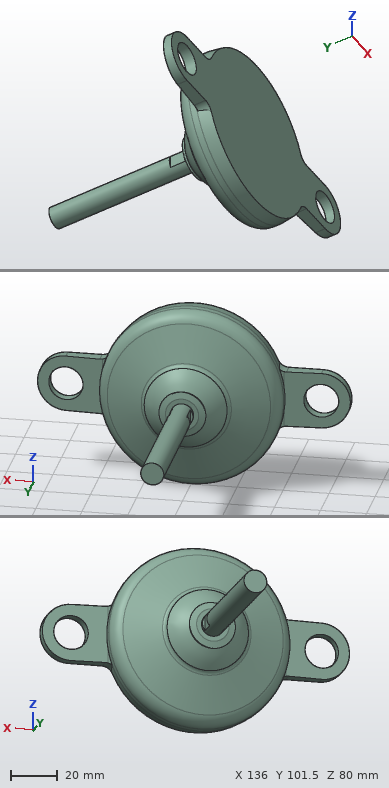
import cadquery as cq
import math

overall_length = 136.0
overall_depth = 101.5

pad_radius = 40.0
base_radius = 39.2
draft_height = 6.1
rim_height = 9.1
cone_start_radius = 35.5
cone_start_height = 15.6
cone_end_radius = 19.6
cone_end_height = 21.8
dome_radius = 23.0
dome_centre_height = rim_height
dome_start_height = 23.4
dome_top_height = 30.0

lug_radius = 12.5
lug_hole_radius = 7.5
lug_tip_thickness = 4.1
lug_root_thickness = 5.8
lug_root_x = 39.5
lug_blend_radius = 5.0
lug_centre_x = overall_length / 2 - lug_radius

stem_radius = 5.0
collar_base_radius = 9.7
collar_edge_radius = 10.2
collar_edge_height = 30.9
collar_top_radius = 7.2
collar_top_height = 31.7
flats_start = 33.3
flats_end = 40.7
flats_width = 7.8


def dome_radius_at(height):
    """Distance from the axis to the spherical dome at a given height."""
    return math.sqrt(dome_radius**2 - (height - dome_centre_height) ** 2)


def revolve_about_y(profile):
    return profile.close().revolve(360, (0, 0, 0), (0, 1, 0))


def make_pad():
    rim = (pad_radius, rim_height)
    cone_start = (cone_start_radius, cone_start_height)
    cone_end = (cone_end_radius, cone_end_height)
    dome_start = (dome_radius_at(dome_start_height), dome_start_height)
    dome_top = (dome_radius_at(dome_top_height), dome_top_height)
    dome_middle_height = (dome_start_height + dome_top_height) / 2
    dome_middle = (dome_radius_at(dome_middle_height), dome_middle_height)

    inset = pad_radius - cone_start_radius
    rise = cone_start_height - rim_height
    shoulder_radius = (inset**2 + rise**2) / (2 * inset)
    shoulder_angle = math.asin(rise / shoulder_radius)
    shoulder_middle = (
        pad_radius - shoulder_radius * (1 - math.cos(shoulder_angle / 2)),
        rim_height + shoulder_radius * math.sin(shoulder_angle / 2),
    )

    profile = (
        cq.Workplane("XY")
        .lineTo(base_radius, 0)
        .lineTo(pad_radius, draft_height)
        .lineTo(*rim)
        .threePointArc(shoulder_middle, cone_start)
        .lineTo(*cone_end)
        .tangentArcPoint(dome_start, relative=False)
        .threePointArc(dome_middle, dome_top)
        .lineTo(0, dome_top_height)
    )
    return revolve_about_y(profile)


def make_lugs():
    """Both lugs as one plate with rounded ends, blended into a central disc and thinning to the tips."""
    bar = cq.Workplane("XZ").slot2D(overall_length, 2 * lug_radius).extrude(-draft_height)
    disc = cq.Workplane("XZ").circle(base_radius).extrude(-draft_height)
    plate = bar.union(disc)

    corner_x = math.sqrt(base_radius**2 - lug_radius**2)
    margin = 0.7
    for side_x in (-corner_x, corner_x):
        for side_z in (-lug_radius, lug_radius):
            corner = cq.selectors.BoxSelector(
                (side_x - margin, 0, side_z - margin),
                (side_x + margin, draft_height, side_z + margin),
            )
            plate = plate.edges(corner).fillet(lug_blend_radius)

    tip_x = overall_length / 2
    taper = (
        cq.Workplane("XY")
        .polyline([
            (-tip_x, 0),
            (tip_x, 0),
            (tip_x, lug_tip_thickness),
            (lug_root_x, lug_root_thickness),
            (-lug_root_x, lug_root_thickness),
            (-tip_x, lug_tip_thickness),
        ])
        .close()
        .extrude(base_radius, both=True)
    )
    return plate.intersect(taper)


def make_foot():
    foot = make_pad().union(make_lugs())
    holes = (
        cq.Workplane("XZ")
        .pushPoints([(-lug_centre_x, 0), (lug_centre_x, 0)])
        .circle(lug_hole_radius)
        .extrude(-draft_height)
    )
    return foot.cut(holes)


def make_stem():
    """Round stem on a thin collar that rests on the dome, with two wrench flats."""
    profile = (
        cq.Workplane("XY")
        .moveTo(0, dome_top_height)
        .lineTo(collar_base_radius, dome_top_height)
        .lineTo(collar_edge_radius, collar_edge_height)
        .lineTo(collar_top_radius, collar_top_height)
        .lineTo(stem_radius, collar_top_height)
        .lineTo(stem_radius, overall_depth)
        .lineTo(0, overall_depth)
    )
    stem = revolve_about_y(profile)
    flat_depth = stem_radius - flats_width / 2
    cutter_x = (flats_width + flat_depth) / 2
    flats_length = flats_end - flats_start
    flats_middle = (flats_start + flats_end) / 2
    for side in (-1, 1):
        cutter = cq.Workplane("XY").box(flat_depth, flats_length, 2 * stem_radius)
        stem = stem.cut(cutter.translate((side * cutter_x, flats_middle, 0)))
    return stem


foot = make_foot()
stem = make_stem()
result = cq.Compound.makeCompound([foot.val(), stem.val()])